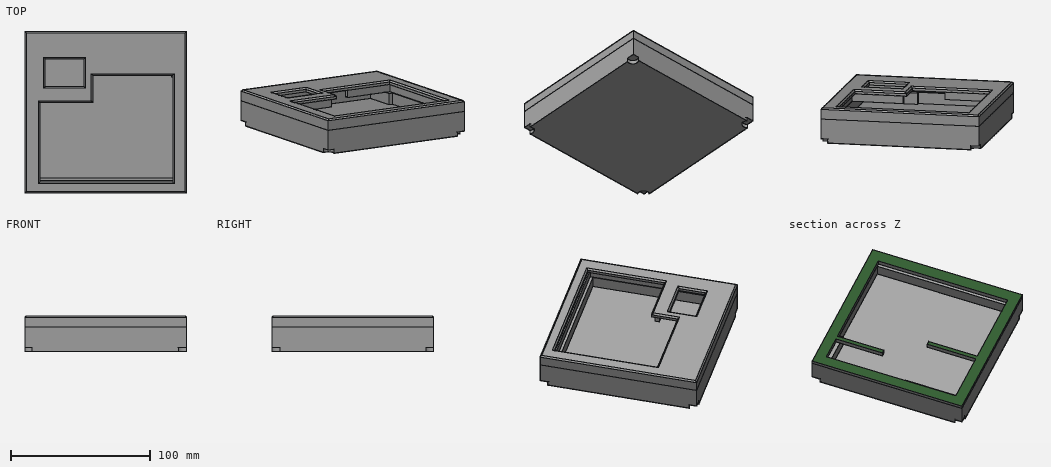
import cadquery as cq

CASE_SIDE = 116.0
CASE_HEIGHT = 25.6
HALF_SIDE = CASE_SIDE / 2
SEAM_Z = 17.5
EDGE_CHAMFER = 1.0
OPENING_CHAMFER = 1.2

CAVITY_HALF = 49.9
FLOOR_Z = 8.1

TONGUE_Z = 16.7
TONGUE_HALF = 53.9
TONGUE_GAP = 0.3
REBATE_Z = TONGUE_Z - TONGUE_GAP

BASE_RIB_WIDTH = 2.9
BASE_RIB_TOP_Z = REBATE_Z
BASE_REAR_RIB_END_X = -10.1
BASE_RIGHT_RIB_START_Y = 25.2

FOOT_DIAMETER = 8.2
FOOT_DEPTH = 3.0
FOOT_LEFT_X = -56.1
FOOT_RIGHT_X = 55.2
FOOT_FRONT_Y = -55.3
FOOT_REAR_Y = 55.7

PLATE_THICKNESS = 3.0
PLATE_Z = CASE_HEIGHT - PLATE_THICKNESS

OPENING_LEFT_X = -47.1
OPENING_RIGHT_X = 48.0
OPENING_FRONT_Y = -50.0
OPENING_REAR_Y = 26.3
STEP_X = -9.3
STEP_Y = 6.8

WINDOW_LEFT_X = -43.4
WINDOW_RIGHT_X = -15.5
WINDOW_FRONT_Y = 18.6
WINDOW_REAR_Y = 38.2

LID_RIB_WIDTH = 3.2
STEP_RIB_Y = 8.8
STEP_RIB_END_X = -12.3
LID_REAR_RIB_Y = 28.7
LID_REAR_RIB_START_X = 14.0
FRONT_LEDGE_WIDTH = 0.9


def block(x_range, y_range, z_range):
    """Box between two X, two Y and two Z values."""
    (x0, x1), (y0, y1), (z0, z1) = x_range, y_range, z_range
    return cq.Workplane("XY").box(x1 - x0, y1 - y0, z1 - z0, centered=False).translate((x0, y0, z0))


def square_block(half_side, z_range):
    """Square block centred on the Z axis."""
    span = (-half_side, half_side)
    return block(span, span, z_range)


def opening_cutter(outline):
    """Cutter through the lid plate that widens to a chamfer at the top face."""
    straight = cq.Workplane("XY").workplane(offset=PLATE_Z).polyline(outline).close().extrude(PLATE_THICKNESS)
    rim = (
        cq.Workplane("XY")
        .workplane(offset=CASE_HEIGHT)
        .polyline(outline)
        .close()
        .offset2D(OPENING_CHAMFER, "intersection")
        .extrude(-OPENING_CHAMFER, taper=45)
    )
    return straight.union(rim)


def make_base():
    base = square_block(HALF_SIDE, (0, SEAM_Z))
    base = base.cut(square_block(CAVITY_HALF, (FLOOR_Z, SEAM_Z)))
    base = base.cut(square_block(TONGUE_HALF, (REBATE_Z, SEAM_Z)))

    rib_inner = CAVITY_HALF - BASE_RIB_WIDTH
    rib_z = (FLOOR_Z, BASE_RIB_TOP_Z)
    full_span = (-CAVITY_HALF, CAVITY_HALF)
    front_rib = block(full_span, (-CAVITY_HALF, -rib_inner), rib_z)
    rear_rib = block((-CAVITY_HALF, BASE_REAR_RIB_END_X), (rib_inner, CAVITY_HALF), rib_z)
    right_rib = block((rib_inner, CAVITY_HALF), (BASE_RIGHT_RIB_START_Y, CAVITY_HALF), rib_z)
    for rib in (front_rib, rear_rib, right_rib):
        base = base.union(rib)

    foot_centres = [(x, y) for x in (FOOT_LEFT_X, FOOT_RIGHT_X) for y in (FOOT_FRONT_Y, FOOT_REAR_Y)]
    feet = cq.Workplane("XY").pushPoints(foot_centres).circle(FOOT_DIAMETER / 2).extrude(FOOT_DEPTH)
    return base.cut(feet)


def make_lid():
    lid = square_block(HALF_SIDE, (SEAM_Z, CASE_HEIGHT)).faces(">Z").edges().chamfer(EDGE_CHAMFER)
    lid = lid.union(square_block(TONGUE_HALF, (TONGUE_Z, SEAM_Z)))
    lid = lid.cut(square_block(CAVITY_HALF, (TONGUE_Z, PLATE_Z)))

    rib_z = (TONGUE_Z, PLATE_Z)
    step_rib = block((-CAVITY_HALF, STEP_RIB_END_X), (STEP_RIB_Y, STEP_RIB_Y + LID_RIB_WIDTH), rib_z)
    rear_rib_y = (LID_REAR_RIB_Y, LID_REAR_RIB_Y + LID_RIB_WIDTH)
    rear_rib = block((LID_REAR_RIB_START_X, CAVITY_HALF), rear_rib_y, rib_z)
    front_ledge = block(
        (-CAVITY_HALF, CAVITY_HALF), (-CAVITY_HALF, -CAVITY_HALF + FRONT_LEDGE_WIDTH), rib_z
    )
    for rib in (step_rib, rear_rib, front_ledge):
        lid = lid.union(rib)

    main_outline = [
        (OPENING_LEFT_X, OPENING_FRONT_Y),
        (OPENING_RIGHT_X, OPENING_FRONT_Y),
        (OPENING_RIGHT_X, OPENING_REAR_Y),
        (STEP_X, OPENING_REAR_Y),
        (STEP_X, STEP_Y),
        (OPENING_LEFT_X, STEP_Y),
    ]
    window_outline = [
        (WINDOW_LEFT_X, WINDOW_FRONT_Y),
        (WINDOW_RIGHT_X, WINDOW_FRONT_Y),
        (WINDOW_RIGHT_X, WINDOW_REAR_Y),
        (WINDOW_LEFT_X, WINDOW_REAR_Y),
    ]
    for outline in (main_outline, window_outline):
        lid = lid.cut(opening_cutter(outline))
    return lid


base = make_base()
lid = make_lid()
result = cq.Compound.makeCompound([base.val(), lid.val()])